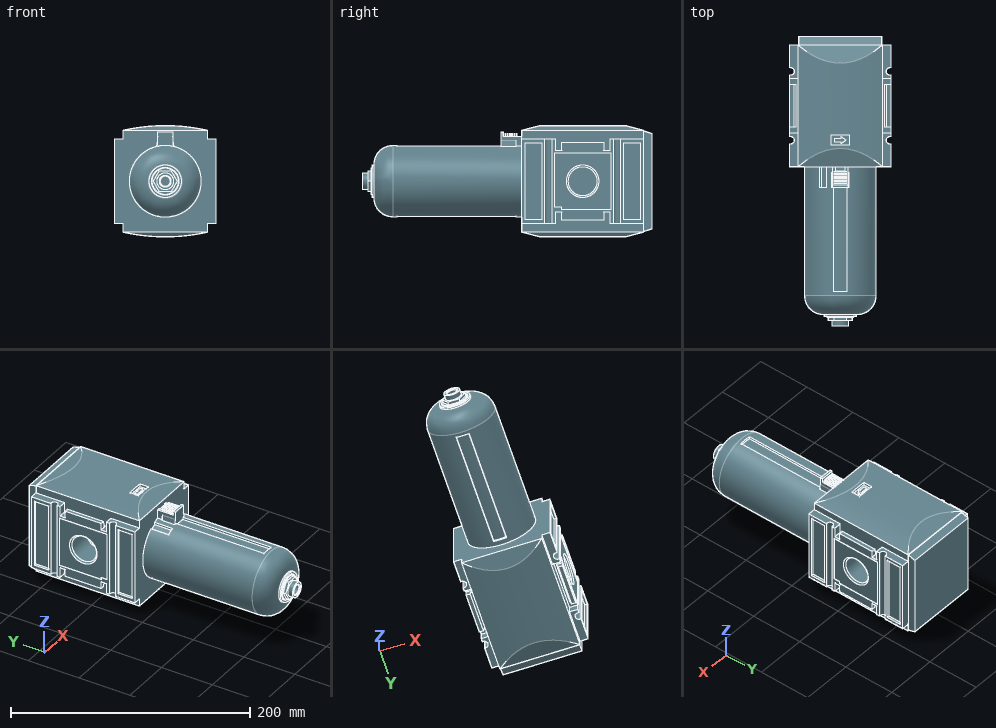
import cadquery as cq
import math


overall_length = 242.0

core_half_width = 35.3
core_half_height = 42.5
crown_half_height = 93.2 / 2
housing_depth = 102.0
housing_middle = housing_depth / 2
bevel_length = 15.2

cap_depth = 7.0
cap_half_width = 34.8
cap_front_half_height = 42.0
cap_rear_half_height = 40.0

flange_half_width = 85.0 / 2
flange_half_height = 35.3
clamp_half_length = 22.7
clamp_floor_height = 26.0
hook_half_length = 17.7
hook_height = 32.5
hook_tip_thickness = 3.6
hook_root_thickness = 5.3
groove_radius = 6.0 / 2
groove_axis_inset = 1.0
groove_offset = 28.8
panel_offset = 41.1
panel_length = 14.0
panel_height = 63.6
panel_depth = 2.2
seat_size = 47.0
seat_depth = 0.2
seat_key_length = 5.8
seat_key_height = 2.0

port_diameter = 24.2
port_mouth_diameter = 27.0
port_depth = 24.2

arrow_pocket_width = 15.7
arrow_pocket_length = 8.2
arrow_pocket_depth = 3.0
arrow_center_y = 22.3
arrow_height = 1.5
arrow_half_length = 4.8
arrow_neck_x = 0.7
arrow_shaft_half_width = 1.5
arrow_head_half_width = 3.0

bowl_radius = 60.0 / 2
bowl_straight = 107.7
drain_seat_radius = 27.0 / 2
dome_edge_radius = 14.0
dome_radius = bowl_radius - dome_edge_radius
drain_seat_end = 125.0
slot_width = 11.1
slot_start = 4.5
slot_end = 104.3
slot_floor_radius = 27.8
notch_wall_x = -11.4
notch_wall_foot = 25.7
notch_corner_x = -15.5
notch_corner_height = 23.5
notch_edge_x = -17.2
notch_edge_height = math.sqrt(bowl_radius**2 - notch_edge_x**2)

drain_gap_diameter = 23.0
drain_gap_depth = 1.5
drain_disc_diameter = 22.0
drain_disc_end = 125.8
hex_across_flats = 17.5
hex_end = 128.5
nipple_diameter = 14.0
nipple_bore_diameter = 8.5
nipple_bore_depth = 7.3
nipple_bore_chamfer = 0.7
bowl_length = overall_length - housing_depth - cap_depth

latch_width = 12.8
latch_length = 17.5
latch_root = 27.3
latch_deck = 37.5
latch_lip_height = 41.1
latch_lip_length = 2.2
latch_channel_width = 8.0
latch_channel_length = 3.5
latch_channel_depth = 1.0
skirt_top = 34.0
skirt_bottom = 29.0
skirt_width = 14.5
skirt_start = 4.5
rib_count = 6
rib_width = 10.2
rib_thickness = 0.7
rib_pitch = 2.0
rib_top = 40.0
first_rib = 4.0


def box(x_range, y_range, z_range):
    """Box between two limits along each axis."""
    lengths = [high - low for low, high in (x_range, y_range, z_range)]
    corner = (x_range[0], y_range[0], z_range[0])
    return cq.Workplane("XY").box(*lengths, centered=False).translate(corner)


def rod(diameter, start, end):
    """Round rod on the bowl axis, between two distances in front of the housing."""
    return cq.Workplane("XZ", origin=(0, -start, 0)).circle(diameter / 2).extrude(end - start)


def both_sides(shape, plane):
    """The shape together with its mirror image."""
    return shape.union(shape.mirror(plane))


def make_core():
    """Block with arched upper and lower faces that are bevelled at both ends."""
    arched = (
        cq.Workplane("XZ")
        .moveTo(-core_half_width, -core_half_height)
        .threePointArc((0, -crown_half_height), (core_half_width, -core_half_height))
        .lineTo(core_half_width, core_half_height)
        .threePointArc((0, crown_half_height), (-core_half_width, core_half_height))
        .close()
        .extrude(-housing_depth)
    )
    bevelled = (
        cq.Workplane("YZ")
        .polyline([
            (0, -core_half_height),
            (bevel_length, -crown_half_height),
            (housing_depth - bevel_length, -crown_half_height),
            (housing_depth, -core_half_height),
            (housing_depth, core_half_height),
            (housing_depth - bevel_length, crown_half_height),
            (bevel_length, crown_half_height),
            (0, core_half_height),
        ])
        .close()
        .extrude(core_half_width, both=True)
    )
    return arched.intersect(bevelled)


def make_cap():
    """Rear cap, tapering towards the back."""
    rear = housing_depth + cap_depth
    return (
        cq.Workplane("YZ")
        .polyline([
            (housing_depth, -cap_front_half_height),
            (rear, -cap_rear_half_height),
            (rear, cap_rear_half_height),
            (housing_depth, cap_front_half_height),
        ])
        .close()
        .extrude(cap_half_width, both=True)
    )


def make_hook():
    """Clamping hook on top of the middle of the +X flange, with a sloping inner face."""
    return (
        cq.Workplane("XZ", origin=(0, housing_middle - hook_half_length, 0))
        .polyline([
            (flange_half_width, clamp_floor_height),
            (flange_half_width, hook_height),
            (flange_half_width - hook_tip_thickness, hook_height),
            (flange_half_width - hook_root_thickness, clamp_floor_height),
        ])
        .close()
        .extrude(-2 * hook_half_length)
    )


def make_port():
    """Blind port on the +X side with a chamfered mouth."""
    face = flange_half_width - seat_depth
    mouth_chamfer = (port_mouth_diameter - port_diameter) / 2
    return (
        cq.Workplane("XY")
        .polyline([
            (face - port_depth, 0),
            (face, 0),
            (face, port_mouth_diameter / 2),
            (face - mouth_chamfer, port_diameter / 2),
            (face - port_depth, port_diameter / 2),
        ])
        .close()
        .revolve(360, (0, 0, 0), (1, 0, 0))
        .translate((0, housing_middle, 0))
    )


def make_flange():
    """The +X flange with its clamping hooks, grooves and panels."""
    flange_x = (core_half_width, flange_half_width)
    flange = box(flange_x, (0, housing_depth), (-flange_half_height, flange_half_height))
    clamp_y = (housing_middle - clamp_half_length, housing_middle + clamp_half_length)
    clamp_gap = box(flange_x, clamp_y, (clamp_floor_height, flange_half_height))
    flange = flange.cut(both_sides(clamp_gap, "XY"))
    hook = make_hook()
    flange = flange.union(hook).union(hook.mirror("XY"))

    panel_x = (flange_half_width - panel_depth, flange_half_width)
    groove_axis_x = flange_half_width - groove_axis_inset
    for side in (-1, 1):
        groove_y = housing_middle + side * groove_offset
        groove = (
            cq.Workplane("XY")
            .center(groove_axis_x, groove_y)
            .circle(groove_radius)
            .extrude(flange_half_height, both=True)
        )
        groove_mouth = box(
            (groove_axis_x, flange_half_width),
            (groove_y - groove_radius, groove_y + groove_radius),
            (-flange_half_height, flange_half_height),
        )
        panel_y = housing_middle + side * panel_offset
        panel = box(
            panel_x,
            (panel_y - panel_length / 2, panel_y + panel_length / 2),
            (-panel_height / 2, panel_height / 2),
        )
        flange = flange.cut(groove).cut(groove_mouth).cut(panel)
    return flange.cut(make_seat())


def make_seat():
    """Shallow square seat around the +X port, with one corner left standing as a key."""
    half = seat_size / 2
    seat_x = (flange_half_width - seat_depth, flange_half_width)
    near_y = housing_middle - half
    seat = box(seat_x, (near_y, housing_middle + half), (-half, half))
    key = box(seat_x, (near_y, near_y + seat_key_length), (-half, -half + seat_key_height))
    return seat.cut(key)


def make_arrow_pocket():
    """Pocket in the upper face with a raised arrow pointing to +X on its floor."""
    floor = crown_half_height - arrow_pocket_depth
    half_width = arrow_pocket_width / 2
    half_length = arrow_pocket_length / 2
    pocket = box(
        (-half_width, half_width),
        (arrow_center_y - half_length, arrow_center_y + half_length),
        (floor, crown_half_height),
    )
    arrow = (
        cq.Workplane("XY", origin=(0, arrow_center_y, floor))
        .polyline([
            (-arrow_half_length, -arrow_shaft_half_width),
            (arrow_neck_x, -arrow_shaft_half_width),
            (arrow_neck_x, -arrow_head_half_width),
            (arrow_half_length, 0),
            (arrow_neck_x, arrow_head_half_width),
            (arrow_neck_x, arrow_shaft_half_width),
            (-arrow_half_length, arrow_shaft_half_width),
        ])
        .close()
        .extrude(arrow_height)
    )
    return pocket.cut(arrow)


def make_housing():
    flange = make_flange()
    port = make_port()
    housing = make_core().union(make_cap())
    housing = housing.union(flange).union(flange.mirror("YZ"))
    housing = housing.cut(port).cut(port.mirror("YZ"))
    return housing.cut(make_arrow_pocket())


def make_shell():
    """Round bowl with a domed end and a flat seat for the drain screw."""
    dome_end = bowl_straight + dome_radius
    arc_offset = dome_radius * math.sqrt(0.5)
    return (
        cq.Workplane("XY")
        .moveTo(0, 0)
        .lineTo(bowl_radius, 0)
        .lineTo(bowl_radius, -bowl_straight)
        .threePointArc(
            (dome_edge_radius + arc_offset, -bowl_straight - arc_offset),
            (dome_edge_radius, -dome_end),
        )
        .lineTo(drain_seat_radius, -dome_end)
        .lineTo(drain_seat_radius, -drain_seat_end)
        .lineTo(0, -drain_seat_end)
        .close()
        .revolve(360, (0, 0, 0), (0, 1, 0))
    )


def make_slots():
    """Long slots along the top and bottom of the bowl, with a round floor."""
    slots = box(
        (-slot_width / 2, slot_width / 2),
        (-slot_end, -slot_start),
        (-bowl_radius, bowl_radius),
    )
    return slots.cut(rod(2 * slot_floor_radius, slot_start, slot_end))


def make_notch():
    """Notch beside the latch with an upright wall, a sloping floor and a slanted far wall."""
    return (
        cq.Workplane("XZ")
        .polyline([
            (notch_wall_x, bowl_radius),
            (notch_wall_x, notch_wall_foot),
            (notch_corner_x, notch_corner_height),
            (notch_edge_x, notch_edge_height),
            (notch_edge_x, bowl_radius),
        ])
        .close()
        .extrude(latch_length)
    )


def make_latch():
    """Ribbed latch standing on the bowl against the housing."""
    half_width = latch_width / 2
    latch = box((-half_width, half_width), (-latch_length, 0), (latch_root, latch_deck))
    lip = box(
        (-half_width, half_width),
        (-latch_length, -latch_length + latch_lip_length),
        (latch_deck, latch_lip_height),
    )
    channel = box(
        (-latch_channel_width / 2, latch_channel_width / 2),
        (-latch_channel_length, 0),
        (latch_deck - latch_channel_depth, latch_deck),
    )
    skirt = (
        cq.Workplane("XZ", origin=(0, -skirt_start, 0))
        .polyline([
            (-half_width, skirt_top),
            (-skirt_width / 2, skirt_bottom),
            (skirt_width / 2, skirt_bottom),
            (half_width, skirt_top),
        ])
        .close()
        .extrude(latch_length - skirt_start)
    )
    latch = latch.union(lip).union(skirt).cut(channel)
    for index in range(rib_count):
        rib_y = -first_rib - index * rib_pitch
        rib = box(
            (-rib_width / 2, rib_width / 2),
            (rib_y - rib_thickness / 2, rib_y + rib_thickness / 2),
            (latch_deck, rib_top),
        )
        latch = latch.union(rib)
    return latch


def make_drain():
    """Drain screw: disc, hexagon with corners along X, and bored nipple."""
    disc = rod(drain_disc_diameter, drain_seat_end - drain_gap_depth, drain_disc_end)
    across_corners = hex_across_flats / math.cos(math.pi / 6)
    hexagon = (
        cq.Workplane("XZ", origin=(0, -drain_disc_end, 0))
        .polygon(6, across_corners)
        .extrude(hex_end - drain_disc_end)
    )
    nipple = rod(nipple_diameter, hex_end, bowl_length)
    bore = rod(nipple_bore_diameter, bowl_length - nipple_bore_depth, bowl_length)
    drain = disc.union(hexagon).union(nipple).cut(bore)
    bore_rim = cq.selectors.RadiusNthSelector(0)
    return drain.faces("<Y").edges(bore_rim).chamfer(nipple_bore_chamfer)


def make_bowl():
    drain_gap = rod(drain_gap_diameter, drain_seat_end - drain_gap_depth, drain_seat_end)
    bowl = make_shell().cut(make_slots()).cut(make_notch())
    return bowl.union(make_latch()).cut(drain_gap).union(make_drain())


housing = make_housing()
bowl = make_bowl()
result = cq.Compound.makeCompound([housing.val(), bowl.val()])